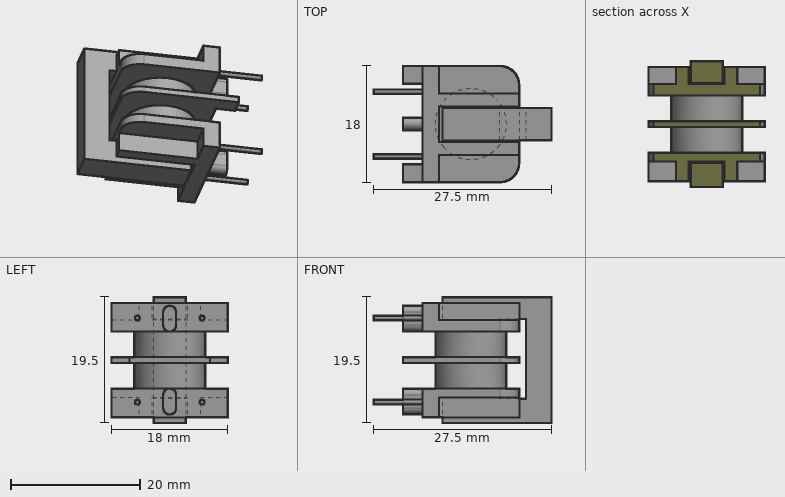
import cadquery as cq


bobbin_width = 18.0
bobbin_half_length = 7.5
corner_radius = 3.0
flange_inner_z = 4.4
flange_outer_z = 8.85
upper_plate_thickness = 1.8
lower_plate_thickness = 1.4
pin_block_thickness = 2.6
channel_width = 5.5
rail_thickness = 2.0
winding_radius = 5.5

divider_thickness = 0.95
projection_length = 3.0
ear_width = 2.8

post_width = 2.0
post_height = 4.0
pin_diameter = 0.75
pin_length = 7.5
pin_spacing = 10.0
pin_z = 6.5

core_width = 5.0
core_height = 19.5
core_end_x = 12.5
core_yoke_thickness = 4.0
core_channel_gap = 0.5
core_plate_gap = 0.15

block_x = -bobbin_half_length
channel_start_x = block_x + pin_block_thickness
core_start_x = channel_start_x + core_channel_gap


def box(x_range, y_range, z_range):
    """Axis-aligned box between the given limits."""
    size = [high - low for low, high in (x_range, y_range, z_range)]
    corner = (x_range[0], y_range[0], z_range[0])
    return cq.Workplane("XY").box(*size, centered=False).translate(corner)


def centred(width):
    """Limits of a span centred on zero."""
    return (-width / 2, width / 2)


def plate(z_range):
    """Flat plate with its two +X corners rounded."""
    blank = box(centred(2 * bobbin_half_length), centred(bobbin_width), z_range)
    return blank.edges("|Z and >X").fillet(corner_radius)


def flange(side, plate_thickness):
    """End flange on the upper (side = 1) or lower (side = -1) end of the bobbin."""

    def z_span(inner, outer):
        return tuple(sorted((side * inner, side * outer)))

    full_height = z_span(flange_inner_z, flange_outer_z)
    body = plate(z_span(flange_inner_z, flange_inner_z + plate_thickness))
    body = body.union(box((block_x, channel_start_x), centred(bobbin_width), full_height))

    rail_inner_y = channel_width / 2
    rail_outer_y = rail_inner_y + rail_thickness
    rail_x = (channel_start_x, bobbin_half_length)
    for rail_y in ((rail_inner_y, rail_outer_y), (-rail_outer_y, -rail_inner_y)):
        body = body.union(box(rail_x, rail_y, full_height))

    face = cq.Workplane("YZ", origin=(block_x, 0, 0))
    post_z = side * (flange_inner_z + post_height / 2)
    post = face.center(0, post_z).slot2D(post_height, post_width, 90).extrude(-projection_length)
    pin_places = [(y, side * pin_z) for y in centred(pin_spacing)]
    pins = face.pushPoints(pin_places).circle(pin_diameter / 2).extrude(-pin_length)
    return body.union(post).union(pins)


def divider():
    """Middle plate between the two winding chambers."""
    z_range = centred(divider_thickness)
    body = plate(z_range)
    ear_x = (block_x - projection_length, block_x)
    half_width = bobbin_width / 2
    for ear_y in ((half_width - ear_width, half_width), (-half_width, ear_width - half_width)):
        body = body.union(box(ear_x, ear_y, z_range))
    return body


def winding():
    """Solid winding cylinder between the two flanges."""
    base = cq.Workplane("XY").workplane(offset=-flange_inner_z)
    return base.circle(winding_radius).extrude(2 * flange_inner_z)


def core():
    """C-shaped core around the +X side, closed by a leg through the winding."""
    y_range = centred(core_width)
    window_top = flange_inner_z + upper_plate_thickness + core_plate_gap
    window_bottom = -(flange_inner_z + lower_plate_thickness + core_plate_gap)
    window_x = (-core_start_x, core_end_x - core_yoke_thickness)
    block = box((core_start_x, core_end_x), y_range, centred(core_height))
    return block.cut(box(window_x, y_range, (window_bottom, window_top)))


result = (
    winding()
    .union(divider())
    .union(flange(1, upper_plate_thickness))
    .union(flange(-1, lower_plate_thickness))
    .union(core())
)